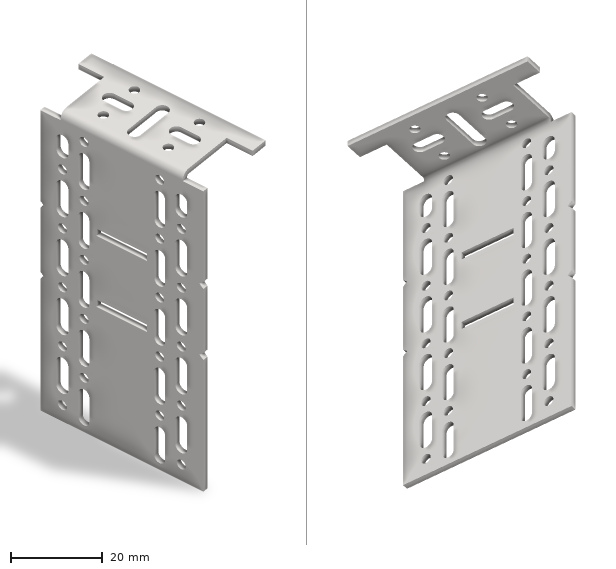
import cadquery as cq

thickness = 1.5
height = 87.0
depth = 20.0
bend_radius = 2.0
neck_width = 34.0

plate_width = 45.3
plate_top_gap = 2.35
plate_top = height - plate_top_gap
row_pitch = 16.6
hole_diameter = 2.5
slot_length = 10.1

inner_column_x = 10.5
inner_slot_width = 3.0
inner_hole_top_z = 81.8
inner_hole_count = 5
inner_slot_top_z = 73.4
inner_slot_count = 5

outer_column_x = 16.5
outer_slot_width = 3.3
outer_hole_top_z = 71.0
outer_hole_count = 5
outer_slot_top_z = 62.7
outer_slot_count = 4
short_slot_length = 6.35
short_slot_z = outer_slot_top_z + row_pitch - (slot_length - short_slot_length) / 2

window_length = 14.0
window_height = 2.0
cross_levels = [58.1, 38.1]
notch_height = 2.0
notch_depth = 1.05

arm_span = 48.5
arm_depth = 4.6
flange_hole_x = 9.05
flange_middle_inset = 9.6
flange_middle_y = depth - flange_middle_inset
flange_hole_spacing_y = 11.0
side_slot_x = 9.3
side_slot_length = 8.0
flange_slot_width = 3.3
center_slot_length = 13.05
center_slot_inset = 10.6
center_slot_y = depth - center_slot_inset


def plate_sketch():
    """Workplane on the front face; local x is X and local y is Z."""
    return cq.Workplane("XZ")


def flange_sketch():
    """Workplane on the underside of the flange; local axes are X and Y."""
    return cq.Workplane("XY", origin=(0, 0, height - thickness))


def column(x, top_z, count):
    """Mirrored pairs of points repeated downwards at the row pitch."""
    return [(side * x, top_z - row * row_pitch) for row in range(count) for side in (-1, 1)]


def bent_strip():
    """L-shaped strip of neck width with a rounded bend."""
    profile = (
        cq.Workplane("YZ", origin=(-neck_width / 2, 0, 0))
        .polyline([
            (0, 0),
            (thickness, 0),
            (thickness, height - thickness),
            (depth, height - thickness),
            (depth, height),
            (0, height),
        ])
        .close()
        .extrude(neck_width)
    )
    outer_corner = cq.selectors.NearestToPointSelector((0, 0, height))
    inner_corner = cq.selectors.NearestToPointSelector((0, thickness, height - thickness))
    return (
        profile
        .edges(outer_corner).fillet(bend_radius)
        .edges(inner_corner).fillet(bend_radius - thickness)
    )


def wide_plate():
    return plate_sketch().center(0, plate_top / 2).rect(plate_width, plate_top).extrude(-thickness)


def flange_arms():
    return flange_sketch().center(0, depth - arm_depth / 2).rect(arm_span, arm_depth).extrude(thickness)


def plate_holes():
    points = column(inner_column_x, inner_hole_top_z, inner_hole_count)
    points += column(outer_column_x, outer_hole_top_z, outer_hole_count)
    return plate_sketch().pushPoints(points).circle(hole_diameter / 2).extrude(-thickness)


def plate_slots(points, length, width):
    return plate_sketch().pushPoints(points).slot2D(length, width, 90).extrude(-thickness)


def cross_windows():
    points = [(0, z) for z in cross_levels]
    return plate_sketch().pushPoints(points).rect(window_length, window_height).extrude(-thickness)


def edge_notch(side, z):
    edge_x = side * plate_width / 2
    tip_x = edge_x - side * notch_depth
    outline = [(edge_x, z - notch_height / 2), (tip_x, z), (edge_x, z + notch_height / 2)]
    return plate_sketch().polyline(outline).close().extrude(-thickness)


def flange_holes():
    return (
        flange_sketch().center(0, flange_middle_y)
        .rect(2 * flange_hole_x, flange_hole_spacing_y, forConstruction=True).vertices()
        .circle(hole_diameter / 2).extrude(thickness)
    )


def flange_slots():
    side_points = [(side * side_slot_x, flange_middle_y) for side in (-1, 1)]
    side_slots = flange_sketch().pushPoints(side_points).slot2D(side_slot_length, flange_slot_width)
    center_slot = flange_sketch().center(0, center_slot_y).slot2D(center_slot_length, flange_slot_width, 90)
    return side_slots.extrude(thickness).union(center_slot.extrude(thickness))


result = bent_strip().union(wide_plate()).union(flange_arms())

result = result.cut(plate_holes())
inner_slots = column(inner_column_x, inner_slot_top_z, inner_slot_count)
outer_slots = column(outer_column_x, outer_slot_top_z, outer_slot_count)
short_slots = column(outer_column_x, short_slot_z, 1)
result = result.cut(plate_slots(inner_slots, slot_length, inner_slot_width))
result = result.cut(plate_slots(outer_slots, slot_length, outer_slot_width))
result = result.cut(plate_slots(short_slots, short_slot_length, outer_slot_width))

result = result.cut(cross_windows())
for level in cross_levels:
    for edge_side in (-1, 1):
        result = result.cut(edge_notch(edge_side, level))

result = result.cut(flange_holes()).cut(flange_slots())